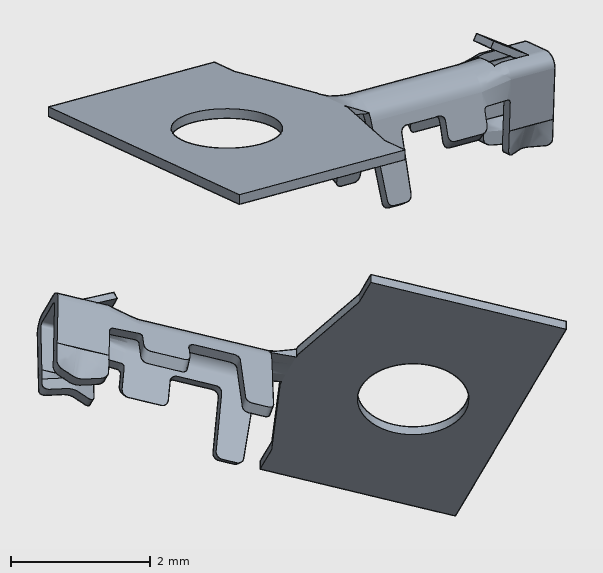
import cadquery as cq
import math


LENGTH = 7.1
SHEET = 0.15
CROWN_Z = -0.02
CORNER_FILLET = 0.1

FLAT_TOLERANCE = 7.1e-08
PICK_MARGIN = 0.01

TAB_WIDTH = 4.5
TAB_HALF_LENGTH = 1.5
HOLE_DIAMETER = 1.6
SHOULDER_HALF_WIDTH = 1.775
TAB_END_HALF_WIDTH = 0.355
TAB_END_Y = 1.9

BARREL_START_Y = 2.315
BARREL_END_Y = 4.32
BOX_START_Y = 4.81
BOX_END_Y = LENGTH - TAB_HALF_LENGTH

NECK_TAB_HALF_WIDTH = 0.3
NECK_BARREL_HALF_WIDTH = 0.33
NECK_FLOOR_Z = -0.205

BARREL_RADIUS = 0.4
BARREL_INNER_RADIUS = BARREL_RADIUS - SHEET
BARREL_AXIS_Z = CROWN_Z - BARREL_RADIUS
WING_TILT = math.radians(14)
BARREL_CREASE_X = 0.26

WEB_OUTER_Z = -0.49
WEB_INNER_Z = WEB_OUTER_Z - SHEET * math.sin(WING_TILT)
BOX_END_WING_START_Y = 3.61
BOX_END_WING_OUTER_Z = -0.895
BOX_END_WING_INNER_Z = -1.03
TAB_END_WING_END_Y = 2.82
TAB_END_WING_OUTER_Z = -1.55
TAB_END_WING_INNER_Z = -1.625
TAB_END_WING_TAPER = 0.085

BOX_HALF_WIDTH = 0.425
BOX_CORNER_RADIUS = 0.21
BOX_INNER_CORNER_RADIUS = BOX_CORNER_RADIUS - SHEET
BOX_FLAT_HALF_WIDTH = BOX_HALF_WIDTH - BOX_CORNER_RADIUS
BOX_BOTTOM_Z = -1.435
BOX_WALL_SLOPE = 0.05

SLEEVE_BOTTOM_Z = -0.53
SLEEVE_FILLET = 0.06

DIMPLE_DEPTH = 0.16
DIMPLE_OUTER_TOP_Z = -1.03
DIMPLE_INNER_TOP_Z = -1.05
DIMPLE_INNER_FULL_Z = -1.23
DIMPLE_START_DEPTH = 0.01
DIMPLE_NOSE_LENGTH = 0.185
DIMPLE_NOSE_ROUNDING = 0.13
DIMPLE_OVERLAP = 0.035

TONGUE_WIDTH = 0.405
TONGUE_THICKNESS = 0.115
TONGUE_ROOT_Y = 5.28
TONGUE_TIP_Y = 4.665
TONGUE_TIP_Z = 0.33
WINDOW_START_Y = 4.67


def xz_plane(y):
    """Plane across the part at y, local x = X and local y = Z, normal = -Y."""
    return cq.Workplane("XZ", origin=(0, y, 0))


def prism_along_y(points, y_start, y_end):
    """Polygon of (x, z) points extruded from y_start to y_end."""
    return xz_plane(y_end).polyline(points).close().extrude(y_end - y_start)


def ruled_loft(wires):
    return cq.Workplane(cq.Solid.makeLoft(wires, True))


def both_sides(body):
    """Body together with its mirror image across X = 0."""
    return body.union(body.mirror("YZ"))


def on_barrel(radius, angle):
    """Point (x, z) on a circle about the barrel axis, angle measured from +X."""
    return radius * math.cos(angle), BARREL_AXIS_Z + radius * math.sin(angle)


def on_box_corner(radius, angle):
    """Point (x, z) on the rounded upper corner of the box."""
    x = BOX_FLAT_HALF_WIDTH + radius * math.cos(angle)
    return x, CROWN_Z - BOX_CORNER_RADIUS + radius * math.sin(angle)


def arch_wire(plane, outer, inner):
    """Closed arch outline. Each of outer and inner lists its right half from the
    foot up: foot, wall top, corner middle, corner end, roof middle, crown."""
    def left(point):
        return -point[0], point[1]

    def roof_span(path, start, middle, end):
        if abs(end[1] - start[1]) < FLAT_TOLERANCE:
            return path.lineTo(*end)
        return path.threePointArc(middle, end)

    foot, wall, middle, corner, roof, crown = outer
    path = plane.moveTo(*foot).lineTo(*wall).threePointArc(middle, corner)
    path = roof_span(path, corner, roof, crown)
    path = roof_span(path, crown, left(roof), left(corner))
    path = path.threePointArc(left(middle), left(wall)).lineTo(*left(foot))
    foot, wall, middle, corner, roof, crown = inner
    path = path.lineTo(*left(foot)).lineTo(*left(wall)).threePointArc(left(middle), left(corner))
    path = roof_span(path, left(corner), left(roof), crown)
    path = roof_span(path, crown, roof, corner)
    return path.threePointArc(middle, wall).lineTo(*foot).close()


def box_side(radius, bottom_z):
    """Right half of the box outline with the given upper corner radius."""
    wall = on_box_corner(radius, 0)
    foot = (wall[0] - BOX_WALL_SLOPE * (wall[1] - bottom_z), bottom_z)
    middle = on_box_corner(radius, math.pi / 4)
    corner = on_box_corner(radius, math.pi / 2)
    roof = (corner[0] / 2, corner[1])
    return foot, wall, middle, corner, roof, (0, corner[1])


def barrel_side(radius, bottom_z):
    """Right half of the barrel outline with the given radius."""
    corner_angle = math.acos(BARREL_CREASE_X / BARREL_RADIUS)
    wall = on_barrel(radius, WING_TILT)
    foot = (wall[0] + (wall[1] - bottom_z) * math.tan(WING_TILT), bottom_z)
    middle = on_barrel(radius, (WING_TILT + corner_angle) / 2)
    corner = on_barrel(radius, corner_angle)
    roof = on_barrel(radius, (corner_angle + math.pi / 2) / 2)
    return foot, wall, middle, corner, roof, (0, BARREL_AXIS_Z + radius)


def make_tab():
    half_width = TAB_WIDTH / 2
    outline = [
        (-half_width, -TAB_HALF_LENGTH),
        (half_width, -TAB_HALF_LENGTH),
        (half_width, TAB_HALF_LENGTH),
        (SHOULDER_HALF_WIDTH, TAB_HALF_LENGTH),
        (TAB_END_HALF_WIDTH, TAB_END_Y),
        (-TAB_END_HALF_WIDTH, TAB_END_Y),
        (-SHOULDER_HALF_WIDTH, TAB_HALF_LENGTH),
        (-half_width, TAB_HALF_LENGTH),
    ]
    tab = cq.Workplane("XY").polyline(outline).close().extrude(-SHEET)
    return tab.cut(cq.Workplane("XY").circle(HOLE_DIAMETER / 2).extrude(-SHEET))


def make_neck():
    """Ruled strip from the flat tab to the crown of the barrel."""
    half = NECK_BARREL_HALF_WIDTH
    edge_z = BARREL_AXIS_Z + math.sqrt(BARREL_RADIUS**2 - half**2)
    inner_x = math.sqrt(BARREL_INNER_RADIUS**2 - (NECK_FLOOR_Z - BARREL_AXIS_Z)**2)
    barrel_end = (
        xz_plane(BARREL_START_Y)
        .moveTo(-half, edge_z)
        .threePointArc((0, CROWN_Z), (half, edge_z))
        .lineTo(half, NECK_FLOOR_Z)
        .lineTo(inner_x, NECK_FLOOR_Z)
        .threePointArc((0, CROWN_Z - SHEET), (-inner_x, NECK_FLOOR_Z))
        .lineTo(-half, NECK_FLOOR_Z)
        .close()
    )
    half = NECK_TAB_HALF_WIDTH
    tab_end = xz_plane(TAB_END_Y).polyline([
        (-half, 0), (half, 0), (half, -SHEET), (inner_x, -SHEET), (-inner_x, -SHEET), (-half, -SHEET),
    ]).close()
    return ruled_loft([barrel_end.val(), tab_end.val()])


def make_barrel_roof():
    outer = barrel_side(BARREL_RADIUS, WEB_OUTER_Z)
    inner = barrel_side(BARREL_INNER_RADIUS, WEB_INNER_Z)
    section = arch_wire(xz_plane(BARREL_END_Y), outer, inner)
    return section.extrude(BARREL_END_Y - BARREL_START_Y)


def make_taper():
    """Wedge that sets back the tab-side edge of the barrel toward the wing tips."""
    top_z = on_barrel(BARREL_RADIUS, WING_TILT)[1]
    wedge = [
        (BARREL_START_Y, top_z),
        (BARREL_START_Y, TAB_END_WING_INNER_Z),
        (BARREL_START_Y + TAB_END_WING_TAPER, TAB_END_WING_INNER_Z),
    ]
    return cq.Workplane("YZ").polyline(wedge).close().extrude(TAB_WIDTH, both=True)


def make_wing(y_start, y_end, outer_z, inner_z):
    """Right-hand wing below the barrel roof with a bevelled, rounded tip."""
    outer_foot, outer_top = barrel_side(BARREL_RADIUS, outer_z)[:2]
    inner_foot, inner_top = barrel_side(BARREL_INNER_RADIUS, inner_z)[:2]
    wing = prism_along_y([outer_top, outer_foot, inner_foot, inner_top], y_start, y_end)
    wing = wing.cut(make_taper())
    return wing.faces("<Z").edges("not |Y").fillet(CORNER_FILLET)


def make_barrel():
    box_end_wing = make_wing(
        BOX_END_WING_START_Y, BARREL_END_Y, BOX_END_WING_OUTER_Z, BOX_END_WING_INNER_Z
    )
    tab_end_wing = make_wing(
        BARREL_START_Y, TAB_END_WING_END_Y, TAB_END_WING_OUTER_Z, TAB_END_WING_INNER_Z
    )
    barrel = make_barrel_roof().cut(make_taper())
    barrel = barrel.union(both_sides(box_end_wing)).union(both_sides(tab_end_wing))
    gap_corners = cq.selectors.BoxSelector(
        (-TAB_WIDTH, TAB_END_WING_END_Y - PICK_MARGIN, WEB_INNER_Z),
        (TAB_WIDTH, BOX_END_WING_START_Y + PICK_MARGIN, WEB_OUTER_Z),
    )
    return barrel.edges("not |Y").edges(gap_corners).fillet(CORNER_FILLET)


def make_sleeve():
    """Ruled sleeve from the barrel roof to the box."""
    sections = []
    for y, side, outer_radius, inner_radius in (
        (BARREL_END_Y, barrel_side, BARREL_RADIUS, BARREL_INNER_RADIUS),
        (BOX_START_Y, box_side, BOX_CORNER_RADIUS, BOX_INNER_CORNER_RADIUS),
    ):
        outer = side(outer_radius, SLEEVE_BOTTOM_Z - SLEEVE_FILLET)
        inner = side(inner_radius, SLEEVE_BOTTOM_Z - SLEEVE_FILLET)
        sections.append(arch_wire(xz_plane(y), outer, inner).val())
    sleeve = ruled_loft(sections)
    length = BOX_START_Y - BARREL_END_Y
    notch = cq.Workplane("XY", origin=(0, BARREL_END_Y + length / 2, BOX_BOTTOM_Z))
    notch = notch.box(TAB_WIDTH, length, SLEEVE_BOTTOM_Z - BOX_BOTTOM_Z, centered=(True, True, False))
    return sleeve.cut(notch.faces(">Z").edges("|X").fillet(SLEEVE_FILLET))


def dimple_wire(radius, z, depth):
    """Plan outline at height z of a V-shaped press, measured from the right wall
    face that belongs to the given box corner radius."""
    wall_x = box_side(radius, z)[0][0]
    tool_x = wall_x + DIMPLE_OVERLAP
    nose_x = wall_x - depth
    flank_x = nose_x + DIMPLE_NOSE_ROUNDING * depth
    middle_y = (BOX_START_Y + BOX_END_Y) / 2
    half_nose = DIMPLE_NOSE_LENGTH / 2
    return (
        cq.Workplane("XY", origin=(0, 0, z))
        .moveTo(tool_x, BOX_START_Y)
        .lineTo(wall_x, BOX_START_Y)
        .lineTo(flank_x, middle_y - half_nose)
        .threePointArc((nose_x, middle_y), (flank_x, middle_y + half_nose))
        .lineTo(wall_x, BOX_END_Y)
        .lineTo(tool_x, BOX_END_Y)
        .close()
        .val()
    )


def make_dimple(radius, top_z, full_z):
    """Press that deepens from top_z to full_z."""
    shallow = dimple_wire(radius, top_z, DIMPLE_START_DEPTH)
    deep = dimple_wire(radius, full_z, DIMPLE_DEPTH)
    return ruled_loft([shallow, deep])


def make_box():
    outer = box_side(BOX_CORNER_RADIUS, BOX_BOTTOM_Z)
    inner = box_side(BOX_INNER_CORNER_RADIUS, BOX_BOTTOM_Z)
    length = BOX_END_Y - BOX_START_Y
    box = arch_wire(xz_plane(BOX_END_Y), outer, inner).extrude(length)

    bulge = make_dimple(BOX_INNER_CORNER_RADIUS, DIMPLE_INNER_TOP_Z, DIMPLE_INNER_FULL_Z)
    bulge_foot = ruled_loft([
        dimple_wire(BOX_INNER_CORNER_RADIUS, DIMPLE_INNER_FULL_Z, DIMPLE_DEPTH),
        dimple_wire(BOX_INNER_CORNER_RADIUS, BOX_BOTTOM_Z, DIMPLE_DEPTH),
    ])
    hollow = make_dimple(BOX_CORNER_RADIUS, DIMPLE_OUTER_TOP_Z, BOX_BOTTOM_Z)
    box = box.union(both_sides(bulge)).union(both_sides(bulge_foot)).cut(both_sides(hollow))

    height = CROWN_Z - BOX_BOTTOM_Z
    envelope = cq.Workplane("XY", origin=(0, (BOX_START_Y + BOX_END_Y) / 2, BOX_BOTTOM_Z))
    envelope = envelope.box(TAB_WIDTH, length, height, centered=(True, True, False))
    return box.intersect(envelope.faces("<Z").edges("|X").fillet(CORNER_FILLET))


def make_window():
    """Opening in the box roof left by the lifted tongue."""
    length = TONGUE_ROOT_Y - WINDOW_START_Y
    window = cq.Workplane("XY").box(2 * BOX_FLAT_HALF_WIDTH, length, 2 * SHEET)
    return window.translate((0, WINDOW_START_Y + length / 2, CROWN_Z - SHEET))


def make_tongue():
    """Strip bent up from the box roof toward the barrel."""
    rise = math.atan2(TONGUE_TIP_Z - CROWN_Z, TONGUE_ROOT_Y - TONGUE_TIP_Y)
    drop_y = TONGUE_THICKNESS * math.sin(rise)
    drop_z = TONGUE_THICKNESS * math.cos(rise)
    root_length = TONGUE_THICKNESS / math.sin(rise)
    profile = [
        (TONGUE_ROOT_Y, CROWN_Z),
        (TONGUE_TIP_Y, TONGUE_TIP_Z),
        (TONGUE_TIP_Y - drop_y, TONGUE_TIP_Z - drop_z),
        (TONGUE_ROOT_Y - root_length, CROWN_Z),
        (TONGUE_ROOT_Y, CROWN_Z - root_length * math.tan(rise)),
    ]
    return cq.Workplane("YZ").polyline(profile).close().extrude(TONGUE_WIDTH / 2, both=True)


result = make_tab().union(make_neck()).union(make_barrel())
result = result.union(make_sleeve()).union(make_box())
result = result.cut(make_window()).union(make_tongue())